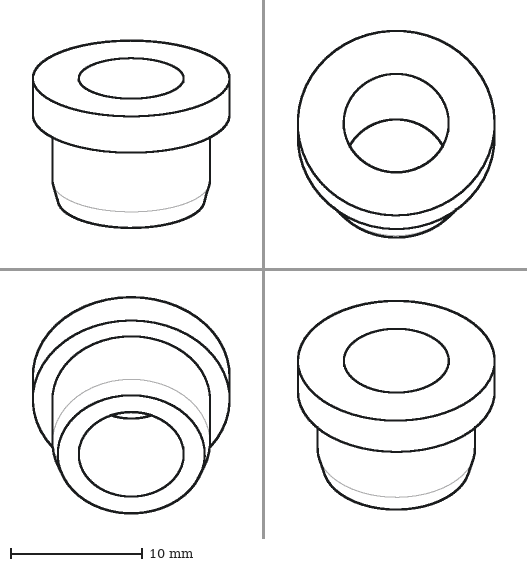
import cadquery as cq
import math

flange_diameter = 15.0
flange_thickness = 3.0
total_height = 10.0
body_diameter = 12.0
bore_diameter = 8.0
lead_in_height = 1.5
lead_in_angle = 15.0

flange_radius = flange_diameter / 2
body_radius = body_diameter / 2
bore_radius = bore_diameter / 2
tip_radius = body_radius - lead_in_height * math.tan(math.radians(lead_in_angle))
flange_bottom = total_height - flange_thickness

half_section = (
    cq.Workplane("XZ")
    .moveTo(bore_radius, 0)
    .lineTo(tip_radius, 0)
    .lineTo(body_radius, lead_in_height)
    .lineTo(body_radius, flange_bottom)
    .lineTo(flange_radius, flange_bottom)
    .lineTo(flange_radius, total_height)
    .lineTo(bore_radius, total_height)
    .close()
)

result = half_section.revolve(360, (0, 0, 0), (0, 1, 0))